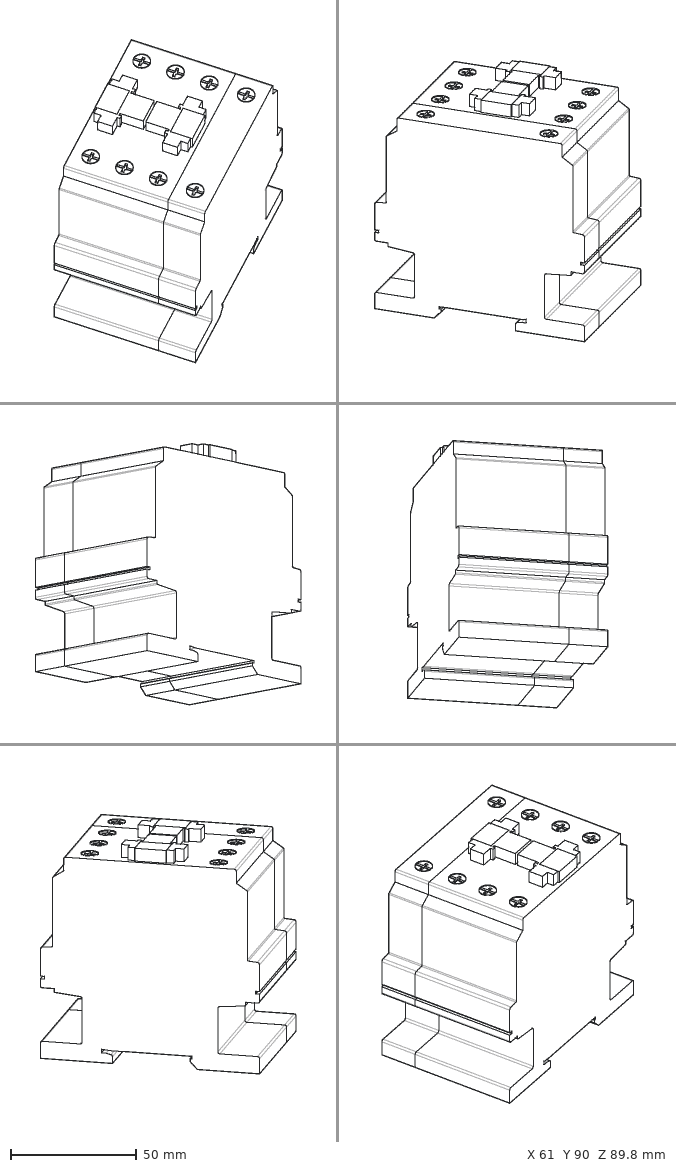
import cadquery as cq


total_width = 61.0
total_height = 89.8
main_width = 45.1
pole_width = total_width - main_width

control_y = 0.2

foot_half = 45.0
foot_height = 7.2
neck_half = 27.9
neck_top = 26.8
ledge_half = 39.3
ledge_slope_end = 27.9
shoulder_bottom = 29.4
shoulder_half = 45.0
shoulder_top = 46.35
wall_half = 40.05
wall_bottom = 46.7
wall_top = 75.8
top_half = 35.5
top_slope_end = 78.75
housing_top = 84.5

soft_radius = 0.8
shoulder_radius = 1.0
brow_radius = 0.6
small_radius = 0.45

groove_bottom = 33.2
groove_height = 1.1
groove_depth = 1.6

rail_ceiling = 5.3
hook_tip = 15.4
hook_tip_height = 3.5
hook_slope_end = 18.0
hook_top = 4.1
hook_root = 20.0
hook_ceiling = 5.7
hook_ceiling_end = 16.65
hook_radius = 0.8
latch_root = -17.3
latch_step = 4.3
latch_tip = -16.5
latch_tip_height = 3.1
latch_foot = -19.5

screw_pitch = 14.6
screw_row = 26.5
screw_diameter = 7.0
screw_recess = 0.4
drive_depth = 1.1
drive_width = 1.0
drive_short_length = 4.3
drive_corner_radius = 0.4

actuator_height = total_height - housing_top
block_x = 1.5
block_end = 11.0
block_half = 6.5
arm_x = 2.25
arm_half = 9.45
tab_x = 5.3
tab_end = 11.7
tab_half = 12.9
collar_end = 13.0
notch_root = 12.0
collar_half = 8.0
stem_half = 5.7
stem_gap = 1.1
stem_end = (main_width - stem_gap) / 2


def section_prism(points, x_start, width):
    """Prism along X from an outline given as (y, z) points."""
    return cq.Workplane("YZ", origin=(x_start, 0, 0)).polyline(points).close().extrude(width)


def round_corners(body, corners, radius, x_middle):
    """Round the lengthwise edges at the (half depth, height) corners, front and back."""
    for y, z in corners:
        for side in (1, -1):
            nearest = cq.selectors.NearestToPointSelector((x_middle, side * y, z))
            body = body.edges(nearest).fillet(radius)
    return body


def housing_section(x_start, width):
    """Symmetric stepped body with rounded corners."""
    half = [
        (foot_half, 0),
        (foot_half, foot_height),
        (neck_half, foot_height),
        (neck_half, neck_top),
        (ledge_half, ledge_slope_end),
        (ledge_half, shoulder_bottom),
        (shoulder_half, shoulder_bottom),
        (shoulder_half, shoulder_top),
        (wall_half, wall_bottom),
        (wall_half, wall_top),
        (top_half, top_slope_end),
        (top_half, housing_top),
    ]
    mirrored = [(-y, z) for y, z in reversed(half)]
    body = section_prism(half + mirrored, x_start, width)
    x_middle = x_start + width / 2
    soft_corners = [
        (foot_half, foot_height),
        (neck_half, foot_height),
        (neck_half, neck_top),
        (shoulder_half, shoulder_bottom),
        (top_half, housing_top),
    ]
    body = round_corners(body, soft_corners, soft_radius, x_middle)
    body = round_corners(body, [(shoulder_half, shoulder_top)], shoulder_radius, x_middle)
    body = round_corners(body, [(wall_half, wall_top)], brow_radius, x_middle)
    small_corners = [(ledge_half, ledge_slope_end), (wall_half, wall_bottom)]
    return round_corners(body, small_corners, small_radius, x_middle)


def shoulder_grooves(x_start, width):
    """Cutters for the narrow grooves along the front and back shoulders."""
    middles = [(0, shoulder_half), (0, -shoulder_half)]
    return (
        cq.Workplane("XY", origin=(x_start + width / 2, 0, groove_bottom))
        .pushPoints(middles)
        .rect(width, 2 * groove_depth)
        .extrude(groove_height)
    )


def rail_recess(x_start, width):
    """Cutter for the rail channel, with a hook on the +Y side and a latch on the -Y side."""
    outline = [
        (hook_tip, 0),
        (hook_tip, hook_tip_height),
        (hook_slope_end, hook_top),
        (hook_root, hook_top),
        (hook_root, hook_ceiling),
        (hook_ceiling_end, rail_ceiling),
        (latch_root, rail_ceiling),
        (latch_root, latch_step),
        (latch_tip, latch_step),
        (latch_tip, latch_tip_height),
        (latch_foot, 0),
    ]
    recess = section_prism(outline, x_start, width)
    tip = cq.selectors.NearestToPointSelector((x_start + width / 2, hook_tip, hook_tip_height))
    return recess.edges(tip).fillet(hook_radius)


def screw_head(x, y):
    """Cutter for a shallow round recess with a cross drive whose long slot spans the head."""
    recess_floor = housing_top - screw_recess
    recess_plane = cq.Workplane("XY", origin=(x, y, recess_floor))
    recess = recess_plane.circle(screw_diameter / 2).extrude(screw_recess)
    slots = cq.Workplane("XY", origin=(x, y, recess_floor - drive_depth))
    long_slot = slots.rect(screw_diameter, drive_width).extrude(drive_depth)
    short_slot = slots.rect(drive_width, drive_short_length).extrude(drive_depth)
    cross = long_slot.union(short_slot)
    near_corner = (x - drive_width, y - drive_width, 0)
    far_corner = (x + drive_width, y + drive_width, housing_top)
    inner = cq.selectors.BoxSelector(near_corner, far_corner)
    cross = cross.edges("|Z").edges(inner).fillet(drive_corner_radius)
    head = slots.circle(screw_diameter / 2).extrude(drive_depth)
    return recess.union(cross.intersect(head))


def make_housing(x_start, width, screw_columns):
    """One housing with its grooves, rail recess and two screw heads per column."""
    body = housing_section(x_start, width)
    body = body.cut(shoulder_grooves(x_start, width)).cut(rail_recess(x_start, width))
    for x in screw_columns:
        for y in (control_y + screw_row, control_y - screw_row):
            body = body.cut(screw_head(x, y))
    return body


def top_plane():
    """Workplane on top of the housing, centred on the actuators along Y."""
    return cq.Workplane("XY", origin=(0, control_y, housing_top))


def make_slide_block():
    """Rectangular block seated in the carrier."""
    middle = ((block_x + block_end) / 2, 0)
    outline = top_plane().moveTo(*middle).rect(block_end - block_x, 2 * block_half)
    return outline.extrude(actuator_height)


def make_carrier():
    """Stem and two stepped arms that enclose the slide block on three sides."""
    half = [
        (block_end, block_half),
        (arm_x, block_half),
        (arm_x, arm_half),
        (tab_x, arm_half),
        (tab_x, tab_half),
        (tab_end, tab_half),
        (tab_end, collar_half),
        (collar_end, collar_half),
        (collar_end, block_half),
        (notch_root, block_half),
        (notch_root, stem_half),
        (stem_end, stem_half),
    ]
    mirrored = [(x, -y) for x, y in reversed(half)]
    return top_plane().polyline(half + mirrored).close().extrude(actuator_height)


def mirror_across_main(body):
    """Copy of a body mirrored about the middle of the main housing."""
    return body.mirror("YZ", (main_width / 2, 0, 0))


main_middle = main_width / 2
main_columns = [main_middle + step * screw_pitch for step in (-1, 0, 1)]
main_housing = make_housing(0, main_width, main_columns)
side_pole = make_housing(main_width, pole_width, [main_width + pole_width / 2])

carrier = make_carrier()
slide_block = make_slide_block()
actuator_bodies = []
for left_body in (carrier, slide_block):
    actuator_bodies += [left_body.val(), mirror_across_main(left_body).val()]

result = cq.Compound.makeCompound([main_housing.val(), side_pole.val(), *actuator_bodies])